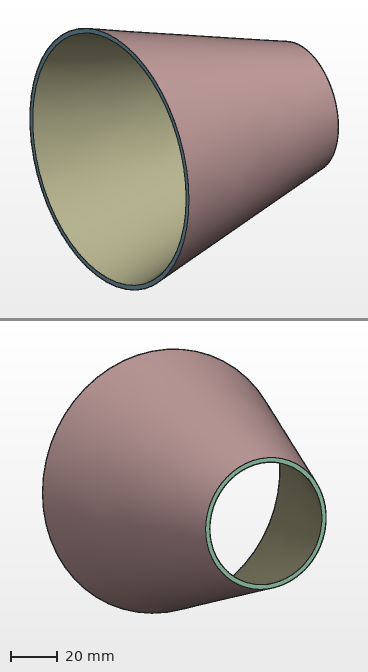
import cadquery as cq

large_diameter = 114.3
small_diameter = 57.0
length = 100.0
wall = 2.1

large_radius = large_diameter / 2
small_radius = small_diameter / 2

wall_section = (
    cq.Workplane("XY")
    .moveTo(large_radius, 0)
    .lineTo(small_radius, length)
    .lineTo(small_radius - wall, length)
    .lineTo(large_radius - wall, 0)
    .close()
)

result = wall_section.revolve(360, (0, 0, 0), (0, 1, 0))